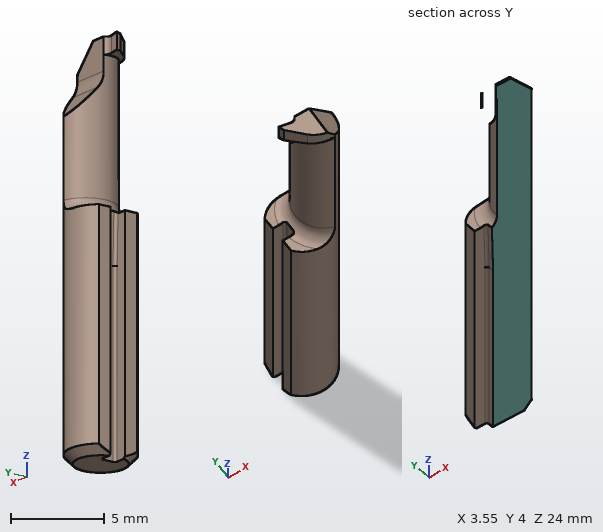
import cadquery as cq
import math

shank_radius = 2.0
shank_length = 14.0
flat_x = -1.55
base_chamfer = 0.5

slot_width = 0.95
slot_floor_x = -0.68
slot_corner_radius = 0.16
ramp_length = 2.95
ramp_angle = 1.5

total_length = 24.0
neck_left_x = -0.41
neck_edge_x = 0.97
neck_edge_y = math.sqrt(shank_radius**2 - neck_edge_x**2)
neck_centre_x = ((neck_edge_x**2 + neck_edge_y**2 - neck_left_x**2)
                 / (2 * (neck_edge_x - neck_left_x)))
neck_radius = neck_centre_x - neck_left_x
neck_fillet = 0.8

tip_x = -1.48
tip_y = 0.02
tip_land_end = (-1.36, -0.3)
flank_end = (-0.46, -1.23)
heel_middle = (0.2, -1.62)
cutting_width = 1.03
top_relief = 3.0
under_relief = 5.5

groove_start_x = -0.85
groove_bottom = (-0.62, -0.1)

bevel_start_x = 0.55
bevel_drop = 1.55
bevel_relief = 4.5

rake_y = 0.1
gash_bend_z = 22.05
gash_radius = 1.5
gash_angle = 40.0

oversize = 30.0


def tangent(degrees):
    return math.tan(math.radians(degrees))


def half_space(origin, normal):
    """Large block lying on the side of a plane that its normal points to."""
    plane = cq.Plane(origin=origin, normal=normal)
    return cq.Workplane(plane).rect(2 * oversize, 2 * oversize).extrude(oversize)


def round_bar(length):
    return cq.Workplane("XY").circle(shank_radius).extrude(length)


def make_shank():
    bar = round_bar(shank_length).faces("<Z").chamfer(base_chamfer)
    return bar.cut(half_space((flat_x, 0, 0), (-1, 0, 0)))


def make_neck():
    """Neck with the concave flare at its root, trimmed to the shank's outline."""
    diagonal = neck_fillet * math.sqrt(0.5)
    flare_radius = neck_radius + neck_fillet
    flare_top = shank_length + neck_fillet
    root_z = shank_length - neck_fillet
    half_profile = (
        cq.Workplane("XZ", origin=(neck_centre_x, 0, 0))
        .moveTo(0, root_z)
        .lineTo(flare_radius, root_z)
        .lineTo(flare_radius, shank_length)
        .threePointArc((flare_radius - diagonal, flare_top - diagonal), (neck_radius, flare_top))
        .lineTo(neck_radius, total_length)
        .lineTo(0, total_length)
        .close()
    )
    return half_profile.revolve(360, (0, 0), (0, 1)).intersect(round_bar(total_length))


def make_head():
    """Hooked cutting head, with its underside relieved away from the rake face."""
    blank_height = 2 * cutting_width
    head = (
        cq.Workplane("XY", origin=(0, 0, total_length - blank_height))
        .moveTo(neck_edge_x, rake_y)
        .lineTo(neck_left_x, rake_y)
        .threePointArc(groove_bottom, (groove_start_x, groove_bottom[1]))
        .lineTo(tip_x, tip_y)
        .lineTo(*tip_land_end)
        .lineTo(*flank_end)
        .threePointArc(heel_middle, (neck_edge_x, -neck_edge_y))
        .close()
        .extrude(blank_height)
    )
    underside = half_space((0, rake_y, total_length - cutting_width), (0, -tangent(under_relief), -1))
    return head.cut(underside)


def make_slot():
    """Slot with rounded floor corners; its floor rises slightly towards the flat near the shank top."""
    ramp_start_z = shank_length - ramp_length

    def cutter(bottom_z, height):
        block = cq.Workplane("XY").box(shank_radius, slot_width, height, centered=(True, True, False))
        block = block.edges("|Z and >X").fillet(slot_corner_radius)
        return block.translate((slot_floor_x - shank_radius / 2, 0, bottom_z))

    ramp = cutter(ramp_start_z, ramp_length + neck_fillet)
    pivot = (slot_floor_x, 0, ramp_start_z)
    pivot_end = (slot_floor_x, 1, ramp_start_z)
    return cutter(0, ramp_start_z).union(ramp.rotate(pivot, pivot_end, -ramp_angle))


def make_gash():
    angle = math.radians(gash_angle)

    def bend_point(turn):
        return (rake_y + gash_radius * (1 - math.cos(turn)), gash_bend_z - gash_radius * math.sin(turn))

    bend_end = bend_point(angle)
    slope_end_y = 2 * shank_radius
    slope_end_z = bend_end[1] - (slope_end_y - bend_end[0]) / math.tan(angle)
    return (
        cq.Workplane("YZ")
        .moveTo(rake_y, total_length)
        .lineTo(rake_y, gash_bend_z)
        .threePointArc(bend_point(angle / 2), bend_end)
        .lineTo(slope_end_y, slope_end_z)
        .lineTo(slope_end_y, total_length)
        .close()
        .extrude(oversize, both=True)
    )


def make_top_face():
    """Everything above the end face, which falls away from the rake face."""
    return half_space((0, rake_y, total_length), (0, -tangent(top_relief), 1))


def make_bevel():
    slope = bevel_drop / (shank_radius - bevel_start_x)
    return half_space((bevel_start_x, rake_y, total_length), (slope, -tangent(bevel_relief), 1))


result = make_shank().union(make_neck()).union(make_head())
for tool in (make_gash(), make_top_face(), make_bevel(), make_slot()):
    result = result.cut(tool)